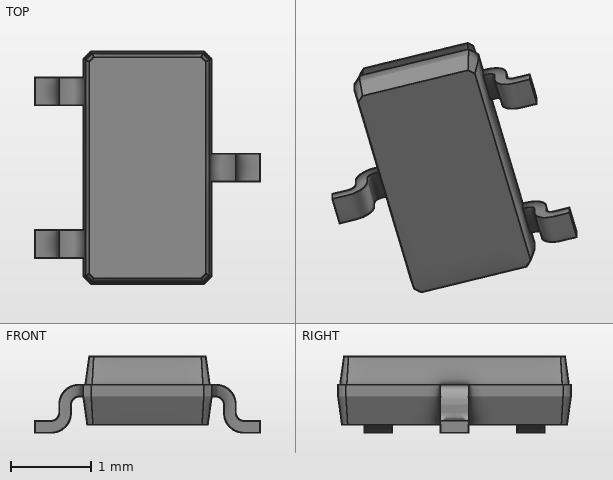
import math

import cadquery as cq

BODY_X = 1.6
BODY_Y = 2.9
CORNER_CHAMFER = 0.1
DRAFT_ANGLE = 8.0
LEDGE = 0.025

BODY_BOTTOM = 0.1
BAND_TOP = 0.6
BODY_TOP = 0.95

LEAD_THICKNESS = 0.15
LEAD_WIDTH = 0.35
LEAD_SPAN = 2.8
LEAD_PITCH = 1.9
FOOT_LENGTH = 0.2
BEND_INNER = 0.1
BEND_OUTER = BEND_INNER + LEAD_THICKNESS
LEAD_EMBED = 0.1

BAND_BOTTOM = BAND_TOP - LEAD_THICKNESS

CHAMFER_SHRINK = 2 - math.sqrt(2)


def body_outline(z, inset=0.0):
    """Body outline at height z, moved inwards by inset, with its corners cut at 45 degrees."""
    half_x = BODY_X / 2 - inset
    half_y = BODY_Y / 2 - inset
    cut = CORNER_CHAMFER - inset * CHAMFER_SHRINK
    return cq.Workplane("XY", origin=(0, 0, z)).polyline([
        (half_x, -half_y + cut),
        (half_x, half_y - cut),
        (half_x - cut, half_y),
        (-half_x + cut, half_y),
        (-half_x, half_y - cut),
        (-half_x, -half_y + cut),
        (-half_x + cut, -half_y),
        (half_x - cut, -half_y),
    ]).close()


def make_body():
    """Straight band with a drafted half above it, set back by the ledge, and one below it."""
    band = body_outline(BAND_BOTTOM).extrude(LEAD_THICKNESS)
    upper = body_outline(BAND_TOP, LEDGE).extrude(BODY_TOP - BAND_TOP, taper=DRAFT_ANGLE)
    lower = body_outline(BAND_BOTTOM).extrude(BODY_BOTTOM - BAND_BOTTOM, taper=DRAFT_ANGLE)
    return band.union(upper).union(lower)


def make_lead(y):
    """Gull-wing lead on the +X side, centred at y."""
    toe_x = LEAD_SPAN / 2
    foot_end_x = toe_x - FOOT_LENGTH
    riser_outer_x = foot_end_x - BEND_INNER
    riser_inner_x = riser_outer_x - LEAD_THICKNESS
    shoulder_x = riser_outer_x - BEND_OUTER
    root_x = BODY_X / 2 - LEAD_EMBED
    lower_bend_z = BEND_OUTER
    upper_bend_z = BAND_TOP - BEND_OUTER

    profile = (
        cq.Workplane("XZ", origin=(0, y + LEAD_WIDTH / 2, 0))
        .moveTo(root_x, BAND_TOP)
        .lineTo(shoulder_x, BAND_TOP)
        .radiusArc((riser_outer_x, upper_bend_z), BEND_OUTER)
        .lineTo(riser_outer_x, lower_bend_z)
        .radiusArc((foot_end_x, LEAD_THICKNESS), -BEND_INNER)
        .lineTo(toe_x, LEAD_THICKNESS)
        .lineTo(toe_x, 0)
        .lineTo(foot_end_x, 0)
        .radiusArc((riser_inner_x, lower_bend_z), BEND_OUTER)
        .lineTo(riser_inner_x, upper_bend_z)
        .radiusArc((shoulder_x, BAND_BOTTOM), -BEND_INNER)
        .lineTo(root_x, BAND_BOTTOM)
        .close()
    )
    return profile.extrude(LEAD_WIDTH)


result = make_body().union(make_lead(0))
for lead_y in (-LEAD_PITCH / 2, LEAD_PITCH / 2):
    result = result.union(make_lead(lead_y).mirror("YZ"))